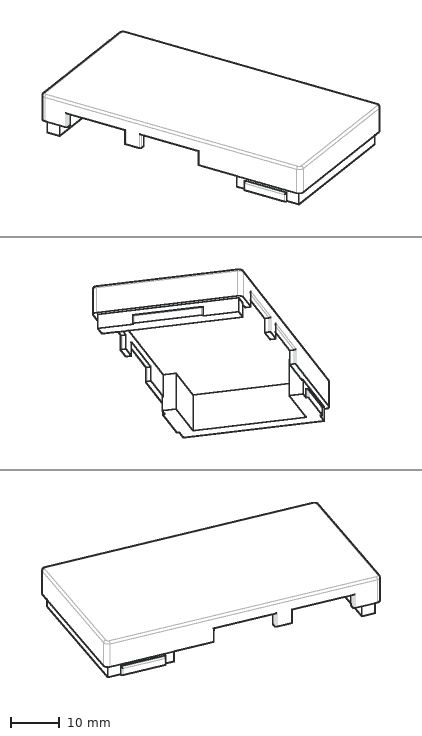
import cadquery as cq

LENGTH = 62.2
WIDTH = 32.2
HEIGHT = 9.2
LIP_DROP = 3.1
WALL = 1.25
CORNER_RADIUS = 1.0
TOP_ROUND = 0.5

LIP_INSET = 1.0
LIP_THICKNESS = 3.0
LONG_RAIL_LENGTH = 14.9

TAB_PROJECTION = 0.5
TAB_HEIGHT = 2.0
TAB_ROUND = 0.3
END_TAB_LENGTH = 15.05
SIDE_TAB_LENGTH = 10.1
SIDE_TAB_SETBACK = 2.0

NOTCH_WIDTH = 13.7
NOTCH_DEPTH = 3.1
NOTCH_ROUND = 0.3
NOTCH_CENTRES = (13.2, 30.8)

ROOF_UNDERSIDE = HEIGHT - WALL
LIP_END = LENGTH - LIP_INSET
LONG_RAIL_START = LIP_END - LONG_RAIL_LENGTH
END_RAIL_INNER = LIP_INSET + LIP_THICKNESS
TAB_FACE = LIP_INSET - TAB_PROJECTION


def box(x0, x1, y0, y1, z0, z1):
    """Block between two opposite corners."""
    return cq.Workplane("XY").box(x1 - x0, y1 - y0, z1 - z0, centered=False).translate((x0, y0, z0))


def mirror_across_width(shape):
    """Copy of a front-wall feature on the opposite long wall."""
    return shape.mirror("XZ", (0, WIDTH / 2, 0))


def make_lid():
    lid = box(0, LENGTH, 0, WIDTH, LIP_DROP, HEIGHT)
    lid = lid.edges("|Z").fillet(CORNER_RADIUS)
    lid = lid.faces(">Z").edges().fillet(TOP_ROUND)
    cavity = box(WALL, LENGTH - WALL, WALL, WIDTH - WALL, LIP_DROP, ROOF_UNDERSIDE)
    return lid.cut(cavity)


def make_lip():
    """Rectangular frame reaching up to the roof, with a gap between its two ends."""
    frame = box(LIP_INSET, LIP_END, LIP_INSET, WIDTH - LIP_INSET, 0, ROOF_UNDERSIDE)
    opening = box(
        END_RAIL_INNER, LENGTH - END_RAIL_INNER, END_RAIL_INNER, WIDTH - END_RAIL_INNER, 0, ROOF_UNDERSIDE
    )
    gap = box(END_RAIL_INNER, LONG_RAIL_START, 0, WIDTH, 0, ROOF_UNDERSIDE)
    return frame.cut(opening).cut(gap)


def make_end_tab():
    y_start = (WIDTH - END_TAB_LENGTH) / 2
    tab = box(TAB_FACE, END_RAIL_INNER, y_start, y_start + END_TAB_LENGTH, 0, TAB_HEIGHT)
    return tab.faces("<X").edges("not <Z").fillet(TAB_ROUND)


def make_side_tab():
    x_start = LONG_RAIL_START + SIDE_TAB_SETBACK
    tab = box(x_start, x_start + SIDE_TAB_LENGTH, TAB_FACE, END_RAIL_INNER, 0, TAB_HEIGHT)
    return tab.faces("<Y").edges("not <Z").fillet(TAB_ROUND)


def add_notch_pair(body, centre):
    """Notch both long walls and round the outer edges of each opening."""
    half = NOTCH_WIDTH / 2
    top = LIP_DROP + NOTCH_DEPTH
    body = body.cut(box(centre - half, centre + half, 0, WIDTH, LIP_DROP, top))
    margin = NOTCH_ROUND / 2
    for wall_face in (0, WIDTH):
        around_outline = cq.selectors.BoxSelector(
            (centre - half - margin, wall_face - margin, LIP_DROP + margin),
            (centre + half + margin, wall_face + margin, top + margin),
        )
        body = body.edges(around_outline).fillet(NOTCH_ROUND)
    return body


result = make_lid()
for notch_centre in NOTCH_CENTRES:
    result = add_notch_pair(result, notch_centre)

side_tab = make_side_tab()
result = result.union(make_lip()).union(make_end_tab())
result = result.union(side_tab).union(mirror_across_width(side_tab))